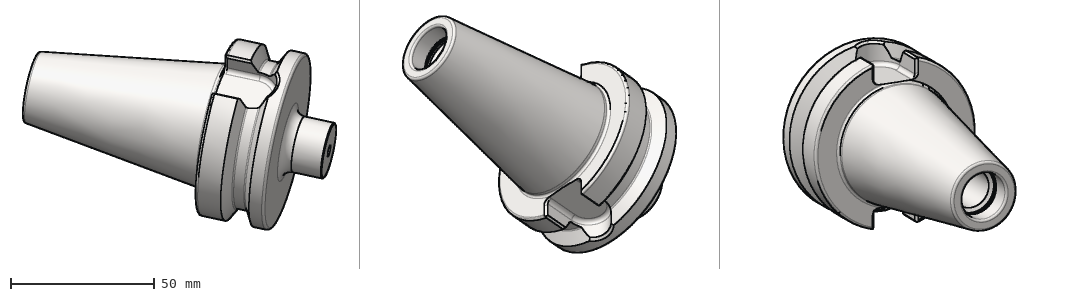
import cadquery as cq
import math

total_length = 107.4
gauge_x = 65.4
flange_front_x = 67.5
flange_back_x = 92.5
stub_length = 11.0
stub_x = total_length - stub_length

gauge_radius = 22.2
taper_slope = 7 / 48
small_end_radius = gauge_radius - taper_slope * gauge_x
small_end_rounding = 1.0
flange_root_rounding = 1.0

flange_diameter = 63.0
flange_radius = flange_diameter / 2
rim_rounding = 1.0
groove_radius = 26.5
groove_front_x = 76.8
groove_back_x = 87.0
groove_flank_angle = 30.0
groove_root_rounding = 0.6
flank_run = (flange_radius - groove_radius) * math.tan(math.radians(groove_flank_angle))

slot_half_width = 8.1
slot_floor_height = 22.6
slot_end_center_x = 80.2
slot_floor_rounding = 1.6
slot_edge_chamfer = 1.0

stub_radius = 10.0
stub_end_chamfer = 0.3
neck_rounding = stub_x - flange_back_x

pilot_radius = 8.5
pilot_rounding = 0.9
bore_groove_start_x = 7.2
bore_groove_end_x = 8.3
bore_groove_radius = 9.0
pilot_depth = 9.1
core_radius = 7.0
core_start_x = 10.0
core_depth = 32.2
drill_tip_half_angle = 59.0
through_radius = 2.0
tip_length = (core_radius - through_radius) / math.tan(math.radians(drill_tip_half_angle))


def edges_at(x, radius):
    """Select the circular edges of the given radius that lie at one X station."""
    margin = 0.01
    reach = radius + margin
    return cq.selectors.BoxSelector(
        (x - margin, -reach, -reach), (x + margin, reach, reach), boundingbox=True
    )


def revolved(points):
    """Turn an outline of (x, radius) points about the X axis."""
    return cq.Workplane("XZ").polyline(points).close().revolve(360, (0, 0, 0), (1, 0, 0))


def holder_blank():
    """Taper shank and grooved flange, solid, without slots or bore."""
    blank = revolved([
        (0, 0),
        (0, small_end_radius),
        (gauge_x, gauge_radius),
        (flange_front_x, gauge_radius),
        (flange_front_x, flange_radius),
        (groove_front_x, flange_radius),
        (groove_front_x + flank_run, groove_radius),
        (groove_back_x - flank_run, groove_radius),
        (groove_back_x, flange_radius),
        (flange_back_x, flange_radius),
        (flange_back_x, 0),
    ])
    blank = blank.edges(edges_at(0, small_end_radius)).fillet(small_end_rounding)
    blank = blank.edges(edges_at(flange_front_x, gauge_radius)).fillet(flange_root_rounding)
    for groove_root_x in (groove_front_x + flank_run, groove_back_x - flank_run):
        blank = blank.edges(edges_at(groove_root_x, groove_radius)).fillet(groove_root_rounding)
    for rim_x in (flange_front_x, flange_back_x):
        blank = blank.edges(edges_at(rim_x, flange_radius)).fillet(rim_rounding)
    return blank


def neck():
    """Concave fillet between the back of the flange and the stub."""
    middle = neck_rounding * (1 - math.sqrt(0.5))
    return (
        cq.Workplane("XZ")
        .moveTo(flange_back_x, 0)
        .lineTo(flange_back_x, stub_radius + neck_rounding)
        .threePointArc((flange_back_x + middle, stub_radius + middle), (stub_x, stub_radius))
        .lineTo(stub_x, 0)
        .close()
        .revolve(360, (0, 0, 0), (1, 0, 0))
    )


def drive_slot():
    """Round-ended slot, open towards the shank, with a rounded edge around its floor."""
    return (
        cq.Workplane("XY", origin=(0, 0, slot_floor_height))
        .moveTo(gauge_x, -slot_half_width)
        .lineTo(slot_end_center_x, -slot_half_width)
        .threePointArc((slot_end_center_x + slot_half_width, 0), (slot_end_center_x, slot_half_width))
        .lineTo(gauge_x, slot_half_width)
        .close()
        .extrude(flange_radius)
        .faces("<Z")
        .edges("not <X")
        .fillet(slot_floor_rounding)
    )


def slot_cross_section(plane, widening):
    """Add the slot's cross-section, widened on both sides above an unchanged flat floor."""
    half_floor = slot_half_width - slot_floor_rounding
    half_width = slot_half_width + widening
    corner_radius = slot_floor_rounding + widening
    wall_foot = slot_floor_height + corner_radius
    wall_top = slot_floor_height + flange_radius
    return (
        plane
        .moveTo(-half_width, wall_top)
        .lineTo(-half_width, wall_foot)
        .radiusArc((-half_floor, slot_floor_height), -corner_radius)
        .lineTo(half_floor, slot_floor_height)
        .radiusArc((half_width, wall_foot), -corner_radius)
        .lineTo(half_width, wall_top)
        .close()
    )


def slot_mouth_bevel():
    """Chamfer of the slot's edges on the front face of the flange."""
    front = slot_cross_section(cq.Workplane("YZ", origin=(flange_front_x, 0, 0)), slot_edge_chamfer)
    return slot_cross_section(front.workplane(offset=slot_edge_chamfer), 0).loft(ruled=True)


def slot_rim_bevel():
    """Chamfer along both walls of the slot, where they meet the rim in front of the groove."""
    wall_top = math.sqrt(flange_radius ** 2 - slot_half_width ** 2)
    bevel_foot = wall_top - slot_edge_chamfer
    top_half_width = slot_half_width + 2 * slot_edge_chamfer
    bevel_top = bevel_foot + 2 * slot_edge_chamfer
    return (
        cq.Workplane("YZ", origin=(flange_front_x, 0, 0))
        .polyline([
            (-slot_half_width, bevel_foot),
            (slot_half_width, bevel_foot),
            (top_half_width, bevel_top),
            (-top_half_width, bevel_top),
        ])
        .close()
        .extrude(slot_end_center_x - flange_front_x)
    )


def slot_end_edge():
    """Select the edge where the round end of the upper slot meets the rim behind the groove."""
    margin = 0.1
    return cq.selectors.BoxSelector(
        (groove_back_x - margin, -slot_half_width, groove_radius),
        (slot_end_center_x + slot_half_width + margin, slot_half_width, flange_radius + margin),
        boundingbox=True,
    )


def cut_drive_slots(blank):
    """Cut the upper slot, then turn the blank over and cut the other one."""
    for _ in range(2):
        blank = blank.cut(drive_slot()).cut(slot_mouth_bevel()).cut(slot_rim_bevel())
        blank = blank.edges(slot_end_edge()).chamfer(slot_edge_chamfer)
        blank = blank.rotate((0, 0, 0), (1, 0, 0), 180)
    return blank


def drawbar_bore():
    """Space taken up by the bore, from the small end of the taper to the stub."""
    return revolved([
        (0, 0),
        (0, pilot_radius),
        (bore_groove_start_x, pilot_radius),
        (bore_groove_start_x, bore_groove_radius),
        (bore_groove_end_x, bore_groove_radius),
        (bore_groove_end_x, pilot_radius),
        (pilot_depth, pilot_radius),
        (core_start_x, core_radius),
        (core_depth, core_radius),
        (core_depth + tip_length, through_radius),
        (stub_x, through_radius),
        (stub_x, 0),
    ])


def make_holder():
    holder = cut_drive_slots(holder_blank())
    holder = holder.union(neck()).cut(drawbar_bore())
    return holder.edges(edges_at(0, pilot_radius)).fillet(pilot_rounding)


def make_stub():
    """Plain round stub that continues the neck, with the through hole along its axis."""
    return (
        cq.Workplane("YZ", origin=(stub_x, 0, 0))
        .circle(stub_radius)
        .extrude(stub_length)
        .faces(">X")
        .chamfer(stub_end_chamfer)
        .faces(">X")
        .workplane()
        .hole(2 * through_radius)
    )


holder = make_holder()
stub = make_stub()
result = cq.Compound.makeCompound([holder.val(), stub.val()])